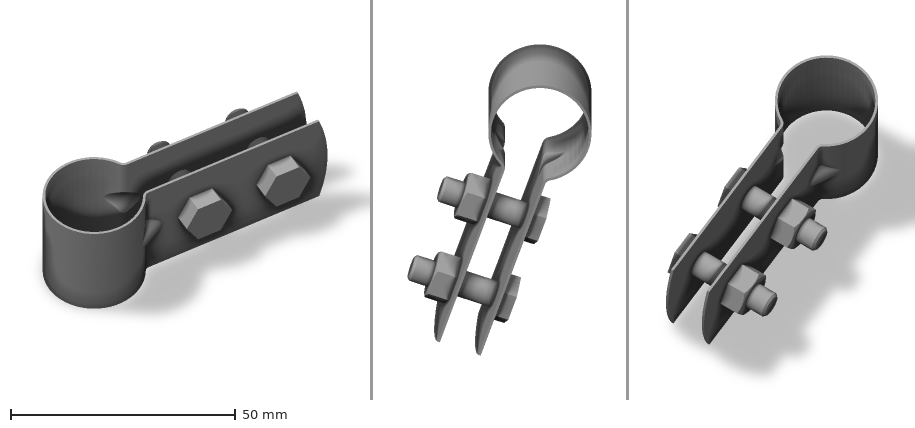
import cadquery as cq
import math

OVERALL_LENGTH = 68.2
CLAMP_HEIGHT = 25.0
RING_DIAMETER = 23.0
RING_RADIUS = RING_DIAMETER / 2
SHEET = 0.6
ARM_OUTER_X = 5.1
BEND_RADIUS = 1.3
ARM_END_RADIUS = 37.5
ARM_END_Y = OVERALL_LENGTH - RING_RADIUS

DIMPLE_INNER_DIAMETER = 7.0
DIMPLE_RADIUS = DIMPLE_INNER_DIAMETER / 2 + SHEET
DIMPLE_TOP_Y = 14.4
DIMPLE_BOTTOM_Y = 7.45
DIMPLE_FLANK_ANGLE = 36.0
DIMPLE_DEPTH = 3.1

BOLT_DIAMETER = 6.0
BOLT_TIP_DIAMETER = 4.9
BOLT_LENGTH = 20.0
HEAD_THICKNESS = 3.95
NUT_THICKNESS = 5.0
ACROSS_FLATS = 10.0
NUT_FACE_DIAMETER = 9.8
NUT_CHAMFER_ANGLE = 30.0
FIRST_BOLT_Y = 24.35
BOLT_SPACING = 20.0
BOLT_POSITIONS = [FIRST_BOLT_Y, FIRST_BOLT_Y + BOLT_SPACING]
ACROSS_CORNERS = ACROSS_FLATS / math.cos(math.pi / 6)


def keyhole(inset):
    """Solid block with the ring-and-arms outline of one sheet face, with rounded bends."""
    ring_radius = RING_RADIUS - inset
    arm_x = ARM_OUTER_X - inset
    bend_radius = BEND_RADIUS + inset
    bend_x = arm_x + bend_radius
    bend_y = math.sqrt((ring_radius + bend_radius) ** 2 - bend_x**2)
    touch = ring_radius / (ring_radius + bend_radius)
    ring_x, ring_y = bend_x * touch, bend_y * touch
    ring_angle = math.atan2(-bend_y, -bend_x)
    middle_angle = (ring_angle - math.pi) / 2
    middle_x = bend_x + bend_radius * math.cos(middle_angle)
    middle_y = bend_y + bend_radius * math.sin(middle_angle)
    return (
        cq.Workplane("XY")
        .workplane(offset=-CLAMP_HEIGHT / 2)
        .moveTo(arm_x, ARM_END_Y)
        .lineTo(arm_x, bend_y)
        .threePointArc((middle_x, middle_y), (ring_x, ring_y))
        .threePointArc((0, -ring_radius), (-ring_x, ring_y))
        .threePointArc((-middle_x, middle_y), (-arm_x, bend_y))
        .lineTo(-arm_x, ARM_END_Y)
        .close()
        .extrude(CLAMP_HEIGHT)
    )


def dimple_prism(inset):
    """Prism along the right-hand dimple crest, sunk below the outer sheet face by the inset."""
    top = cq.Vector(ARM_OUTER_X, DIMPLE_TOP_Y, 0)
    bottom = cq.Vector(math.sqrt(RING_RADIUS**2 - DIMPLE_BOTTOM_Y**2), DIMPLE_BOTTOM_Y, 0)
    crest = top - bottom
    outward = cq.Vector(crest.y, -crest.x, 0)
    start = bottom - crest.normalized() * SHEET
    section = cq.Plane(origin=start, xDir=outward, normal=crest)

    radius = DIMPLE_RADIUS - inset
    flank = math.radians(DIMPLE_FLANK_ANGLE)
    tangent_u = radius * math.cos(flank) - DIMPLE_RADIUS
    tangent_v = radius * math.sin(flank)
    base_v = tangent_v + (tangent_u + DIMPLE_DEPTH) / math.tan(flank)
    return (
        cq.Workplane(section)
        .moveTo(-DIMPLE_DEPTH, -base_v)
        .lineTo(tangent_u, -tangent_v)
        .threePointArc((-inset, 0), (tangent_u, tangent_v))
        .lineTo(-DIMPLE_DEPTH, base_v)
        .close()
        .extrude(crest.Length + 2 * SHEET)
    )


def sheet_face(inset):
    """Everything enclosed by the sheet face that lies the inset below the outer one."""
    dimple = dimple_prism(inset)
    block = keyhole(inset)
    return block.union(dimple).union(dimple.mirror("YZ"))


def side_outline():
    """Block seen along X as the strip's outline, with the arched arm ends."""
    half_height = CLAMP_HEIGHT / 2
    corner_y = ARM_END_Y - ARM_END_RADIUS + math.sqrt(ARM_END_RADIUS**2 - half_height**2)
    return (
        cq.Workplane("YZ")
        .moveTo(-RING_RADIUS, -half_height)
        .lineTo(corner_y, -half_height)
        .threePointArc((ARM_END_Y, 0), (corner_y, half_height))
        .lineTo(-RING_RADIUS, half_height)
        .close()
        .extrude(RING_RADIUS, both=True)
    )


def bolt_holes():
    """Cutters for both bolts, reaching through the arms and the nuts."""
    centres = [(y, 0) for y in BOLT_POSITIONS]
    return (
        cq.Workplane("YZ")
        .pushPoints(centres)
        .circle(BOLT_DIAMETER / 2)
        .extrude(RING_RADIUS, both=True)
    )


def make_clamp():
    sheet = sheet_face(0).cut(sheet_face(SHEET))
    return sheet.intersect(side_outline()).cut(bolt_holes())


def hexagon(x, y, thickness):
    """Hexagonal block from x towards +X, with two corners pointing along Y."""
    return (
        cq.Workplane("YZ", origin=(x, y, 0))
        .polygon(6, ACROSS_CORNERS)
        .extrude(thickness)
    )


def make_bolt(y):
    head = hexagon(ARM_OUTER_X, y, HEAD_THICKNESS)
    shank = (
        cq.Workplane("YZ", origin=(ARM_OUTER_X, y, 0))
        .circle(BOLT_DIAMETER / 2)
        .extrude(-BOLT_LENGTH)
        .faces("<X")
        .chamfer((BOLT_DIAMETER - BOLT_TIP_DIAMETER) / 2)
    )
    return head.union(shank)


def make_nut(y):
    outer_x = -ARM_OUTER_X - NUT_THICKNESS
    face_radius = NUT_FACE_DIAMETER / 2
    corner_radius = ACROSS_CORNERS / 2
    chamfer_depth = (corner_radius - face_radius) * math.tan(math.radians(NUT_CHAMFER_ANGLE))
    envelope = (
        cq.Workplane("XY", origin=(0, y, 0))
        .moveTo(outer_x, 0)
        .lineTo(outer_x, face_radius)
        .lineTo(outer_x + chamfer_depth, corner_radius)
        .lineTo(-ARM_OUTER_X, corner_radius)
        .lineTo(-ARM_OUTER_X, 0)
        .close()
        .revolve(360, (0, 0, 0), (1, 0, 0))
    )
    return hexagon(outer_x, y, NUT_THICKNESS).intersect(envelope).cut(bolt_holes())


clamp = make_clamp()
bolts = [make_bolt(y) for y in BOLT_POSITIONS]
nuts = [make_nut(y) for y in BOLT_POSITIONS]

result = cq.Compound.makeCompound([clamp.val(), *[body.val() for body in bolts + nuts]])